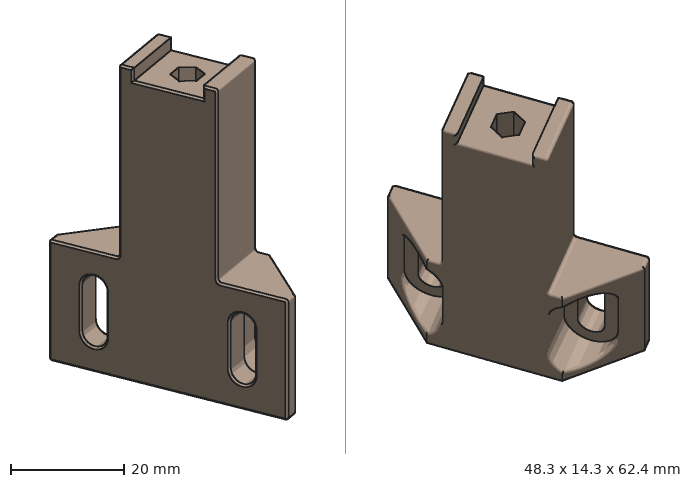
import cadquery as cq
import math

total_width = 48.25
total_depth = 14.3
total_height = 62.35

base_height = 24.0
base_edge_depth = 2.85
bevel_run = total_depth - base_edge_depth
rear_half_width = total_width / 2 - bevel_run

column_width = 19.95
notch_width = 14.0
notch_depth = 2.55
notch_floor = total_height - notch_depth

slot_spacing = 30.0
slot_width = 5.05
slot_straight = 9.0
slot_centre_height = base_height / 2
recess_width = 10.2
recess_floor_depth = 5.35

hex_across_flats = 5.3
hex_across_corners = hex_across_flats / math.cos(math.radians(30))
hex_depth = 10.0

front_chamfer = 0.405
edge_radius = 0.6

overshoot = 0.6
tolerance = 0.005


def near(value, target):
    return abs(value - target) < tolerance


def base_plate():
    edge = total_width / 2
    outline = [
        (-edge, 0),
        (edge, 0),
        (edge, base_edge_depth),
        (rear_half_width, total_depth),
        (-rear_half_width, total_depth),
        (-edge, base_edge_depth),
    ]
    return cq.Workplane("XY").polyline(outline).close().extrude(base_height)


def column():
    block = cq.Workplane("XY").box(column_width, total_depth, total_height, centered=(True, False, False))
    notch = (
        cq.Workplane("XY", origin=(0, total_depth / 2, notch_floor))
        .rect(notch_width, total_depth + 2 * overshoot)
        .extrude(notch_depth + overshoot)
    )
    return block.cut(notch)


def upright_slots(width, y_start, y_end):
    """Pair of upright round-ended prisms running along Y."""
    return (
        cq.Workplane("XZ", origin=(0, y_start, slot_centre_height))
        .pushPoints([(-slot_spacing / 2, 0), (slot_spacing / 2, 0)])
        .slot2D(slot_straight + width, width, 90)
        .extrude(y_start - y_end)
    )


def hex_socket():
    """Hexagonal prism with two corners on the Y direction."""
    return (
        cq.Workplane("XY", origin=(0, total_depth / 2, notch_floor))
        .transformed(rotate=(0, 0, 90))
        .polygon(6, hex_across_corners)
        .extrude(-hex_depth)
    )


def is_body_round(edge):
    """True for bottom, shoulder, column root, column top and rear edges."""
    box = edge.BoundingBox()
    if box.ymax < tolerance:
        return False
    level = box.zlen < tolerance
    at_base = level and (near(box.zmin, 0) or near(box.zmin, base_height))
    outside_notch = max(abs(box.xmin), abs(box.xmax)) > notch_width / 2 + tolerance
    at_top = level and near(box.zmin, total_height) and outside_notch
    at_rear = near(box.ymin, total_depth)
    at_bevel = box.xlen < tolerance and near(abs(box.xmin), rear_half_width)
    return at_base or at_top or (at_rear and not at_bevel)


def is_recess_mouth(edge):
    """True where the recess walls meet the bevels and the rear face."""
    box = edge.BoundingBox()
    x_reach = recess_width / 2 + tolerance
    z_reach = x_reach + slot_straight / 2
    within_x = all(abs(abs(x) - slot_spacing / 2) < x_reach for x in (box.xmin, box.xmax))
    within_z = all(abs(z - slot_centre_height) < z_reach for z in (box.zmin, box.zmax))
    above_floor = box.ymax > recess_floor_depth + tolerance
    wall_seam = box.xlen < tolerance and box.zlen < tolerance
    return within_x and within_z and above_floor and not wall_seam


def fillet_where(solid, wanted):
    """Round every edge that passes the given test."""
    edges = [edge for edge in solid.edges().vals() if wanted(edge)]
    return solid.newObject(edges).fillet(edge_radius)


body = base_plate().union(column())
body = fillet_where(body, is_body_round)

body = body.cut(upright_slots(recess_width, recess_floor_depth, total_depth + overshoot))
body = fillet_where(body, is_recess_mouth)

body = body.cut(upright_slots(slot_width, -overshoot, total_depth))
body = body.faces("<Y").edges().chamfer(front_chamfer)

result = body.cut(hex_socket()).solids()